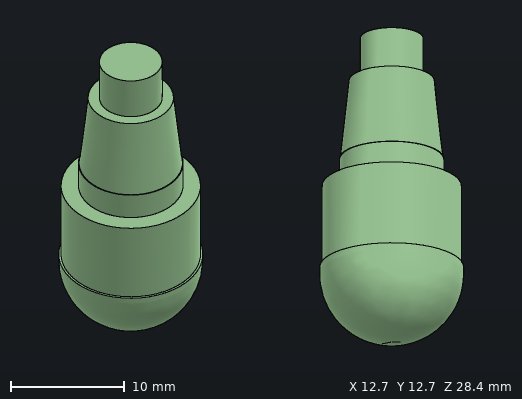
import cadquery as cq

cap_diameter = 12.7
dome_height = 6.35
rim_height = 0.6

body_diameter = 12.27
body_height = 7.65
shoulder_diameter = 9.2
shoulder_height = 2.5
cone_bottom_diameter = 9.1
cone_top_diameter = 7.53
tip_diameter = 5.55
tip_height = 3.98
total_height = 28.4

cap_top = dome_height + rim_height
body_top = cap_top + body_height
shoulder_top = body_top + shoulder_height
cone_top = total_height - tip_height


def make_cap():
    """Domed cap with a short cylindrical rim and a flat top."""
    cap_radius = cap_diameter / 2
    middle_factor = 0.5 ** 0.5
    dome_middle = (cap_radius * middle_factor, dome_height * (1 - middle_factor))
    return (
        cq.Workplane("XZ")
        .threePointArc(dome_middle, (cap_radius, dome_height))
        .lineTo(cap_radius, cap_top)
        .lineTo(0, cap_top)
        .close()
        .revolve(360, (0, 0), (0, 1))
    )


def make_stem():
    """Stepped stem standing on the cap: body, shoulder, slightly inset cone, and tip."""
    return (
        cq.Workplane("XZ")
        .moveTo(0, cap_top)
        .lineTo(body_diameter / 2, cap_top)
        .lineTo(body_diameter / 2, body_top)
        .lineTo(shoulder_diameter / 2, body_top)
        .lineTo(shoulder_diameter / 2, shoulder_top)
        .lineTo(cone_bottom_diameter / 2, shoulder_top)
        .lineTo(cone_top_diameter / 2, cone_top)
        .lineTo(tip_diameter / 2, cone_top)
        .lineTo(tip_diameter / 2, total_height)
        .lineTo(0, total_height)
        .close()
        .revolve(360, (0, 0), (0, 1))
    )


cap = make_cap()
stem = make_stem()

result = cq.Compound.makeCompound([cap.val(), stem.val()])